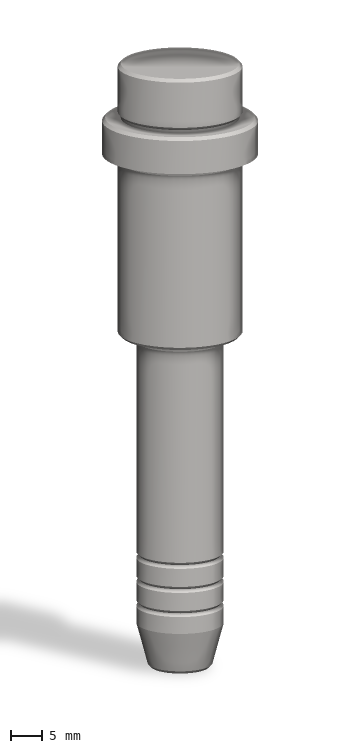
import cadquery as cq

length = 100.0
chamfer = 0.5

collar_radius = 12.5
body_radius = 10.0
rod_radius = 7.0
tip_radius = 5.2

collar_top = length - 9.0
collar_bottom = collar_top - 6.0
body_bottom = 55.0
taper_top = 7.2

groove_width = 2 * chamfer
groove_pitch = 4.0
groove_count = 3
top_groove_height = 18.5

neck_radius = body_radius - chamfer
rod_neck_radius = rod_radius - chamfer


def stepped_pin():
    """Revolve the half profile, listed from the tip up to the head."""
    profile = [
        (0, 0),
        (tip_radius - chamfer, 0),
        (tip_radius, chamfer),
        (rod_radius, taper_top),
        (rod_radius, body_bottom - 2 * chamfer),
        (rod_neck_radius, body_bottom - chamfer),
        (rod_neck_radius, body_bottom),
        (neck_radius, body_bottom),
        (body_radius, body_bottom + chamfer),
        (body_radius, collar_bottom - 2 * chamfer),
        (neck_radius, collar_bottom - chamfer),
        (neck_radius, collar_bottom),
        (collar_radius, collar_bottom),
        (collar_radius, collar_top - chamfer),
        (collar_radius - chamfer, collar_top),
        (neck_radius, collar_top),
        (neck_radius, collar_top + chamfer),
        (body_radius, collar_top + 2 * chamfer),
        (body_radius, length - chamfer),
        (body_radius - chamfer, length),
        (0, length),
    ]
    return cq.Workplane("XZ").polyline(profile).close().revolve(360, (0, 0), (0, 1))


def v_groove(height):
    """Triangular ring that cuts one groove centred at the given height."""
    section = [
        (rod_radius, height - groove_width / 2),
        (rod_radius - chamfer, height),
        (rod_radius, height + groove_width / 2),
    ]
    return cq.Workplane("XZ").polyline(section).close().revolve(360, (0, 0), (0, 1))


result = stepped_pin()
for index in range(groove_count):
    result = result.cut(v_groove(top_groove_height - index * groove_pitch))